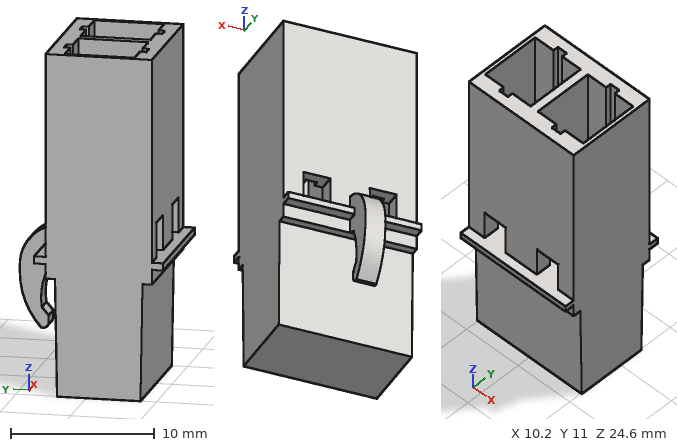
import cadquery as cq

width = 10.16
height = 24.55
body_depth = 7.55
body_bottom = 8.42

plug_base_depth = 5.95
plug_top_depth = 6.24

flange_depth = 9.18
flange_top = 10.0
flange_thickness = 0.52

cavity_spacing = 5.1
cavity_width = 4.4
cavity_depth = 4.95
keyway_width = 0.83
keyway_span = 5.85
window_spacing = 5.05
window_width = 2.04
window_height = 2.5

latch_width = 1.52
latch_center_x = -0.74
latch_reach = 6.4
latch_root_top = 11.37


def block(size_x, size_y, bottom, top, center_x=0):
    """Box centred on Y that spans the given heights."""
    return (
        cq.Workplane("XY", origin=(center_x, 0, bottom))
        .rect(size_x, size_y)
        .extrude(top - bottom)
    )


def make_plug():
    """Plug whose front and back faces taper inwards towards the base."""
    return (
        cq.Workplane("YZ", origin=(-width / 2, 0, 0))
        .moveTo(-plug_base_depth / 2, 0)
        .lineTo(plug_base_depth / 2, 0)
        .lineTo(plug_top_depth / 2, body_bottom)
        .lineTo(-plug_top_depth / 2, body_bottom)
        .close()
        .extrude(width)
    )


def make_latch():
    """Hook that curves out of the back face and down to a rounded tip."""
    back = body_depth / 2
    return (
        cq.Workplane("YZ", origin=(latch_center_x, 0, 0))
        .moveTo(back, latch_root_top)
        .threePointArc((5.43, 10.63), (latch_reach, 8.42))
        .lineTo(latch_reach, 7.85)
        .tangentArcPoint((4.89, 3.95), relative=False)
        .threePointArc((4.55, 4.0), (4.35, 4.37))
        .lineTo(4.35, 4.85)
        .lineTo(4.84, 5.43)
        .threePointArc((4.8, 6.97), (4.4, 8.2))
        .lineTo(back, body_bottom)
        .close()
        .extrude(latch_width / 2, both=True)
    )


result = make_plug()
result = result.union(block(width, body_depth, body_bottom, height))
result = result.union(block(width, flange_depth, flange_top - flange_thickness, flange_top))
result = result.union(make_latch())

window_top = flange_top + window_height
for side in (-1, 1):
    cavity_x = side * cavity_spacing / 2
    window_x = side * window_spacing / 2
    result = result.cut(block(cavity_width, cavity_depth, flange_top, height, cavity_x))
    result = result.cut(block(keyway_width, keyway_span, flange_top, height, cavity_x))
    result = result.cut(block(window_width, flange_depth, flange_top, window_top, window_x))